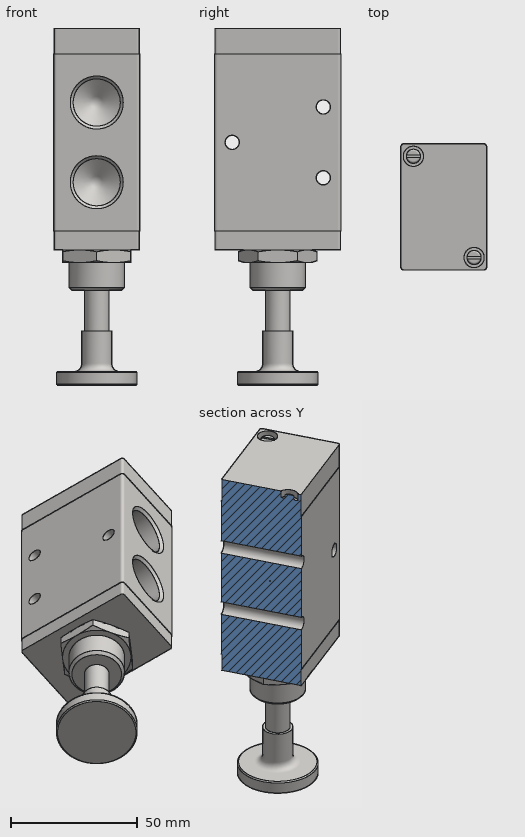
import cadquery as cq
import math

body_width = 34.0
body_depth = 50.0
cap_inset = 0.15
cap_width = body_width - 2 * cap_inset
cap_depth = body_depth - 2 * cap_inset
body_height = 70.0
upper_cap_height = 10.0
lower_cap_height = 7.5
body_corner_radius = 1.2
cap_corner_radius = body_corner_radius - cap_inset

nut_across_flats = 27.0
nut_height = 5.0
nut_chamfer_angle = 20.0
collar_diameter = 22.0
collar_height = 11.0
collar_chamfer = 1.2
stem_diameter = 9.8
stem_length = 16.0
sleeve_diameter = 12.0
sleeve_length = 16.0
sleeve_root_radius = 3.0
button_diameter = 32.0
button_thickness = 5.5
button_edge_chamfer = 0.5

port_diameter = 18.63
port_mouth_diameter = 20.955
port_depth = 10.0
port_spacing = 31.5
drill_point_angle = 118.0

mounting_hole_diameter = 5.5
mounting_hole_y = 18.0
mounting_pair_spacing = 28.0

screw_x = 12.0
screw_y = 20.0
screw_recess_diameter = 8.0
screw_recess_depth = 3.0
screw_head_diameter = 5.6
screw_head_height = 2.0
screw_head_edge_radius = 0.8
screw_slot_width = 1.0
screw_slot_depth = 1.0

button_face_z = button_thickness
sleeve_top_z = button_face_z + sleeve_length
collar_bottom_z = sleeve_top_z + stem_length
nut_bottom_z = collar_bottom_z + collar_height
block_bottom_z = nut_bottom_z + nut_height
body_bottom_z = block_bottom_z + lower_cap_height
body_middle_z = body_bottom_z + body_height / 2
body_top_z = body_bottom_z + body_height
block_top_z = body_top_z + upper_cap_height


def rounded_block(width, depth, height, bottom_z, corner_radius):
    """Upright block centred on the Z axis with rounded vertical edges."""
    block = cq.Workplane("XY").workplane(offset=bottom_z).rect(width, depth).extrude(height)
    return block.edges("|Z").fillet(corner_radius)


def cylinder(diameter, height, bottom_z, x=0.0, y=0.0):
    """Upright cylinder standing on bottom_z."""
    return cq.Workplane("XY").workplane(offset=bottom_z).center(x, y).circle(diameter / 2).extrude(height)


def make_block():
    """Body with a slightly inset cap on each end."""
    lower_cap = rounded_block(cap_width, cap_depth, lower_cap_height, block_bottom_z, cap_corner_radius)
    body = rounded_block(body_width, body_depth, body_height, body_bottom_z, body_corner_radius)
    upper_cap = rounded_block(cap_width, cap_depth, upper_cap_height, body_top_z, cap_corner_radius)
    return lower_cap.union(body).union(upper_cap)


def make_nut():
    """Hexagon with flats facing +X and -X, corners turned conical at both faces."""
    corner_radius = nut_across_flats / math.sqrt(3)
    face_radius = nut_across_flats / 2
    bevel = (corner_radius - face_radius) * math.tan(math.radians(nut_chamfer_angle))
    hexagon = (
        cq.Workplane("XY")
        .workplane(offset=nut_bottom_z)
        .transformed(rotate=(0, 0, 90))
        .polygon(6, 2 * corner_radius)
        .extrude(nut_height)
    )
    turned_blank = (
        cq.Workplane("XZ")
        .moveTo(0, nut_bottom_z)
        .lineTo(face_radius, nut_bottom_z)
        .lineTo(corner_radius, nut_bottom_z + bevel)
        .lineTo(corner_radius, block_bottom_z - bevel)
        .lineTo(face_radius, block_bottom_z)
        .lineTo(0, block_bottom_z)
        .close()
        .revolve(360, (0, 0, 0), (0, 1, 0))
    )
    return hexagon.intersect(turned_blank)


def make_push_button():
    """Collar, stem, sleeve and button head, coaxial with Z."""
    collar = cylinder(collar_diameter, collar_height, collar_bottom_z).faces("<Z").chamfer(collar_chamfer)
    stem = cylinder(stem_diameter, stem_length, sleeve_top_z)
    head = cylinder(button_diameter, button_thickness, 0).edges().chamfer(button_edge_chamfer)
    sleeve = cylinder(sleeve_diameter, sleeve_length, button_face_z)
    root_radius = sleeve_diameter / 2
    root_fillet = (
        cq.Workplane("XZ")
        .moveTo(0, button_face_z)
        .lineTo(root_radius + sleeve_root_radius, button_face_z)
        .radiusArc((root_radius, button_face_z + sleeve_root_radius), sleeve_root_radius)
        .lineTo(0, button_face_z + sleeve_root_radius)
        .close()
        .revolve(360, (0, 0, 0), (0, 1, 0))
    )
    return collar.union(stem).union(head).union(sleeve).union(root_fillet)


def port_cutter(z):
    """Blind bore from the -Y face with a bevelled mouth and a drill-point bottom."""
    face_y = -body_depth / 2
    bore_radius = port_diameter / 2
    mouth_radius = port_mouth_diameter / 2
    mouth_bevel = mouth_radius - bore_radius
    bore_end_y = face_y + port_depth
    tip_y = bore_end_y + bore_radius / math.tan(math.radians(drill_point_angle / 2))
    return (
        cq.Workplane("XY")
        .workplane(offset=z)
        .moveTo(0, face_y)
        .lineTo(mouth_radius, face_y)
        .lineTo(bore_radius, face_y + mouth_bevel)
        .lineTo(bore_radius, bore_end_y)
        .lineTo(0, tip_y)
        .close()
        .revolve(360, (0, 0, 0), (0, 1, 0))
    )


def mounting_holes():
    """Two holes near the +Y side and one midway between them near the -Y side."""
    half_pair = mounting_pair_spacing / 2
    places = [
        (mounting_hole_y, body_middle_z + half_pair),
        (mounting_hole_y, body_middle_z - half_pair),
        (-mounting_hole_y, body_middle_z),
    ]
    return (
        cq.Workplane("YZ")
        .pushPoints(places)
        .circle(mounting_hole_diameter / 2)
        .extrude(body_width / 2, both=True)
    )


def screw_head(x, y, floor_z):
    """Round-edged screw head with a slot along X."""
    head_top_z = floor_z + screw_head_height
    head = cylinder(screw_head_diameter, screw_head_height, floor_z, x, y)
    head = head.faces(">Z").edges().fillet(screw_head_edge_radius)
    slot = (
        cq.Workplane("XY")
        .workplane(offset=head_top_z - screw_slot_depth)
        .center(x, y)
        .rect(screw_head_diameter, screw_slot_width)
        .extrude(screw_slot_depth)
    )
    return head.cut(slot)


result = make_block().union(make_nut()).union(make_push_button())

for side in (-1, 1):
    result = result.cut(port_cutter(body_middle_z + side * port_spacing / 2))

result = result.cut(mounting_holes())

recess_floor_z = block_top_z - screw_recess_depth
for side in (-1, 1):
    place_x = side * screw_x
    place_y = -side * screw_y
    result = result.cut(cylinder(screw_recess_diameter, screw_recess_depth, recess_floor_z, place_x, place_y))
    result = result.union(screw_head(place_x, place_y, recess_floor_z))